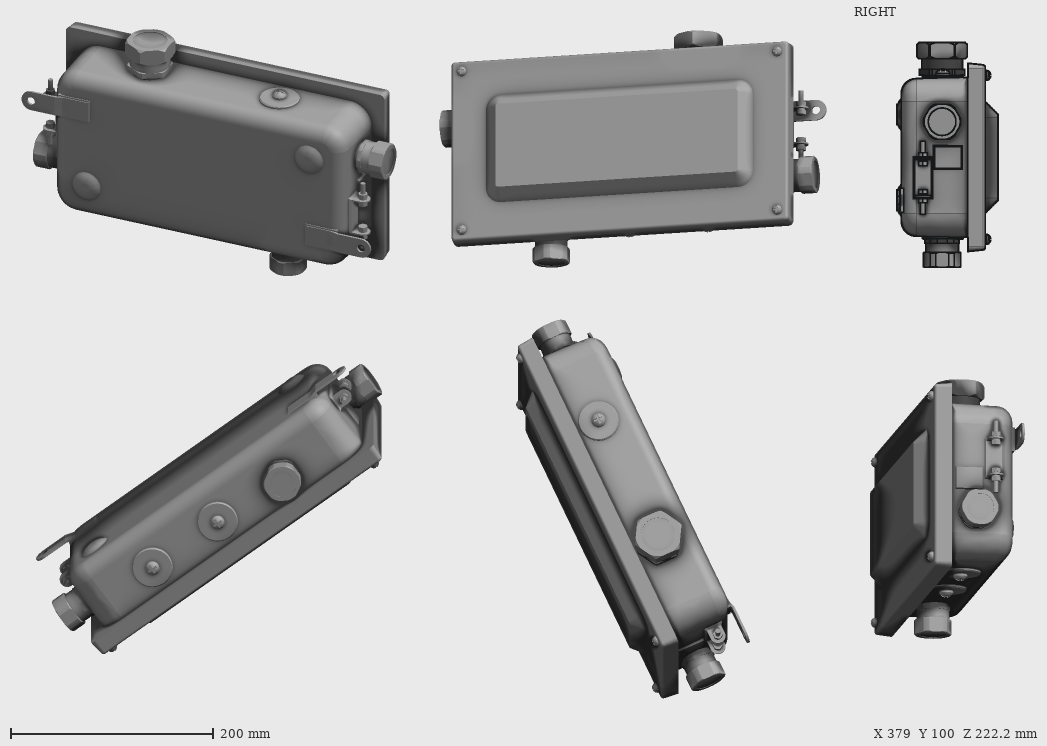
import cadquery as cq
import math

OVERLAP = 2.0

housing_length = 318.2
housing_width = 158.5
housing_depth = 66.0
housing_corner_radius = 24.0
housing_edge_radius = 15.0
housing_draft = 1.3

lid_length = 346.2
lid_width = 186.5
lid_thickness = 17.5
lid_corner_radius = 5.3
lid_edge_radius = 3.0
lid_draft = 6.0
panel_length = 271.5
panel_width = 110.0
panel_height = 12.5
panel_corner_radius = 15.0
panel_slope = 45.0

cross_slot_width = 2.0
cross_slot_depth = 2.0
cross_slot_share = 0.7
lid_screw_spacing_x = 321.2
lid_screw_spacing_z = 162.0
lid_screw_diameter = 10.0
lid_screw_height = 5.3
lid_screw_rim = 1.5

gland_y = -25.5
end_reach = 189.5
end_gland_z = -35.2
bottom_reach = 108.7
bottom_gland_x = 80.0
top_reach = 113.5
top_gland_x = -70.0
nut_recess_depth = 0.8
plug_diameter = 40.5
plug_rim_chamfer = 1.0
plug_y = -24.5
top_plug_x = 70.0
bottom_plug_x = (-80.0, 0)
plug_face = 81.0
plug_thickness = 4.5
plug_screw_diameter = 14.0
plug_screw_height = 6.5
plug_screw_rim = 2.3

strap_z = 42.5
strap_width = 20.5
strap_thickness = 2.3
strap_hole_diameter = 8.5
strap_joggle_outer_x = 153.5
strap_joggle_inner_x = 146.5
strap_inner_end_x = 118.0
strap_outer_face = 70.0
strap_joggle = 2.5
strap_lead_in_x = 143.0
strap_lead_in = 0.55
weld_width = 24.0
weld_outer_x = 151.5
weld_inner_x = 117.0
weld_depth = 3.8
weld_face = 66.5
foot_x = 121.0
foot_diameter = 31.0
foot_flat_diameter = 10.0
foot_height = 4.0
foot_bulge = 1.0

rating_plate_y = -19.7
rating_plate_size = (29.0, 24.2)
rating_plate_face = 160.5
rating_plate_border = 2.5
bracket_y = -44.5
bracket_z = 20.0
bracket_size = (19.0, 41.3)
bracket_face = 160.5
bracket_border = 2.0
plate_edge_drop = 1.5
plate_thickness = 5.5
ear_spacing = 36.7
ear_width = 15.0
ear_thickness = 1.5
stud_x = 169.7
stud_diameter = 5.0
stud_reach = 17.8
stud_washer_diameter = 8.5
stud_washer_height = 1.5
stud_nut_corners = 10.0
stud_nut_height = 4.0


def tapered_block(length, width, height, corner_radius, draft, start, direction):
    """Rounded rectangle in XZ at Y = start, narrowing along +Y or -Y by the draft angle."""
    plane = cq.Plane(origin=(0, start, 0), xDir=(1, 0, 0), normal=(0, direction, 0))
    outline = cq.Sketch().rect(length, width).vertices().fillet(corner_radius)
    return cq.Workplane(plane).placeSketch(outline).extrude(height, taper=draft)


def disc(plane, start, height, diameter):
    return cq.Workplane(plane).workplane(offset=start).circle(diameter / 2).extrude(height)


def trimmed_hexagon(plane, start, height, across_flats, round_diameter, chamfer=0):
    """Hexagonal collar whose six corners are turned down to a round diameter."""
    corners = across_flats / math.cos(math.radians(30))
    hexagon = cq.Workplane(plane).workplane(offset=start).polygon(6, corners).extrude(height)
    turning = disc(plane, start, height, round_diameter)
    if chamfer:
        turning = turning.edges().chamfer(chamfer)
    return hexagon.intersect(turning)


def gland(plane, reach, nut, body, collar, neck_diameter, neck_length, recess_diameter):
    """Cable gland ending at `reach` along the plane normal, built inwards from its nut.

    nut = (height, across flats, round diameter, chamfer), body = (height, diameter),
    collar = (height, across flats, round diameter).
    """
    nut_start = reach - nut[0]
    body_start = nut_start - body[0]
    collar_start = body_start - collar[0]
    neck_start = collar_start - neck_length
    part = trimmed_hexagon(plane, nut_start, *nut)
    part = part.cut(disc(plane, reach - nut_recess_depth, nut_recess_depth, recess_diameter))
    part = part.union(disc(plane, body_start, *body))
    part = part.union(trimmed_hexagon(plane, collar_start, *collar))
    return part.union(disc(plane, neck_start, neck_length, neck_diameter))


def small_gland(plane, reach):
    return gland(
        plane,
        reach,
        nut=(14.8, 35.0, 37.0, 0.8),
        body=(9.0, 32.5),
        collar=(4.0, 32.5, 34.0),
        neck_diameter=29.5,
        neck_length=5.5,
        recess_diameter=27.3,
    )


def large_gland(plane, reach):
    return gland(
        plane,
        reach,
        nut=(16.3, 44.0, 50.0, 2.3),
        body=(10.2, 40.5),
        collar=(5.5, 40.5, 45.0),
        neck_diameter=36.0,
        neck_length=5.5,
        recess_diameter=34.0,
    )


def domed_screw(plane, start, height, rim_height, diameter):
    """Screw head: a short rim, a spherical dome and a cross recess in the crown."""
    radius = diameter / 2
    dome_height = height - rim_height
    sphere_radius = (radius**2 + dome_height**2) / (2 * dome_height)
    half_radius = radius / 2
    half_radius_height = height - sphere_radius + math.sqrt(sphere_radius**2 - half_radius**2)
    profile_plane = cq.Plane(
        origin=plane.toWorldCoords((0, 0, start)).toTuple(),
        xDir=plane.xDir.toTuple(),
        normal=plane.xDir.cross(plane.zDir).toTuple(),
    )
    head = (
        cq.Workplane(profile_plane)
        .moveTo(0, -OVERLAP)
        .lineTo(radius, -OVERLAP)
        .lineTo(radius, rim_height)
        .threePointArc((half_radius, half_radius_height), (0, height))
        .close()
        .revolve(360, (0, 0), (0, 1))
    )
    slot_length = cross_slot_share * diameter
    slots = cq.Workplane(plane).workplane(offset=start + height - cross_slot_depth)
    slots = slots.rect(slot_length, cross_slot_width).extrude(cross_slot_depth).union(
        slots.rect(cross_slot_width, slot_length).extrude(cross_slot_depth)
    )
    return head.cut(slots)


def blanking_plug(x, side):
    """Flat plug with a domed screw on the top (side = 1) or bottom (side = -1) wall."""
    plane = cq.Plane(origin=(x, plug_y, 0), xDir=(0, 1, 0), normal=(0, 0, side))
    plug = disc(plane, plug_face - plug_thickness, plug_thickness, plug_diameter)
    plug = plug.faces(cq.selectors.DirectionMinMaxSelector(plane.zDir)).chamfer(plug_rim_chamfer)
    return plug.union(domed_screw(plane, plug_face, plug_screw_height, plug_screw_rim, plug_screw_diameter))


def lid_screw(x, z):
    plane = cq.Plane(origin=(x, lid_thickness, z), xDir=(1, 0, 0), normal=(0, 1, 0))
    return domed_screw(plane, 0, lid_screw_height, lid_screw_rim, lid_screw_diameter)


def left_strap():
    """Joggled mounting strap with a rounded, drilled tip, on its rectangular weld."""
    bends = [
        (-end_reach, -strap_outer_face),
        (-strap_joggle_outer_x, -strap_outer_face),
        (-strap_joggle_inner_x, -strap_outer_face + strap_joggle - strap_lead_in),
        (-strap_lead_in_x, -strap_outer_face + strap_joggle),
        (-strap_inner_end_x, -strap_outer_face + strap_joggle),
    ]
    upper_side = [(x, y + strap_thickness) for x, y in reversed(bends)]
    strap = cq.Workplane("XY").workplane(offset=strap_z - strap_width / 2)
    strap = strap.polyline(bends + upper_side).close().extrude(strap_width)

    tip_x = -end_reach + strap_width / 2
    tip_plane = cq.Plane(origin=(tip_x, 0, strap_z), xDir=(1, 0, 0), normal=(0, -1, 0))
    straight_length = -strap_inner_end_x - tip_x
    outline = disc(tip_plane, 0, strap_outer_face, strap_width)
    outline = outline.union(
        cq.Workplane(tip_plane)
        .center(straight_length / 2, 0)
        .rect(straight_length, strap_width)
        .extrude(strap_outer_face)
    )
    strap = strap.intersect(outline).cut(disc(tip_plane, 0, strap_outer_face, strap_hole_diameter))

    weld = cq.Workplane("XY").box(weld_outer_x - weld_inner_x, weld_depth, weld_width)
    weld_x = -(weld_outer_x + weld_inner_x) / 2
    return strap.union(weld.translate((weld_x, -weld_face + weld_depth / 2, strap_z)))


def left_foot():
    """Domed foot with a small flat at its crown."""
    base = foot_diameter / 2
    flat = foot_flat_diameter / 2
    plane = cq.Plane(origin=(-foot_x, -housing_depth, -strap_z), xDir=(1, 0, 0), normal=(0, 0, 1))
    dome = (
        cq.Workplane(plane)
        .moveTo(0, OVERLAP)
        .lineTo(base, OVERLAP)
        .lineTo(base, 0)
        .threePointArc(((base + flat) / 2, -foot_height / 2 - foot_bulge), (flat, -foot_height))
        .lineTo(0, -foot_height)
        .close()
    )
    return dome.revolve(360, (0, 0), (0, 1))


def left_wall_plate(face, y, z, size, border):
    """Rectangular plate on the left wall with a sloping border."""
    plate = cq.Workplane("XY").box(plate_thickness, *size)
    plate = plate.faces("<X").edges().chamfer(plate_edge_drop, border)
    return plate.translate((plate_thickness / 2 - face, y, z))


def left_earth_stud(direction):
    """Ear of the bracket with its stud, pointing up (1) or down (-1)."""
    ear_z = bracket_z + direction * ear_spacing / 2
    plane = cq.Plane(origin=(-stud_x, bracket_y, ear_z), xDir=(1, 0, 0), normal=(0, 0, direction))
    ear_root = stud_x - bracket_face + plate_edge_drop
    ear = disc(plane, -ear_thickness / 2, ear_thickness, ear_width)
    ear = ear.union(
        cq.Workplane(plane)
        .center(ear_root / 2, 0)
        .rect(ear_root, ear_width)
        .extrude(ear_thickness / 2, both=True)
    )
    nut_start = ear_thickness / 2 + stud_washer_height
    nut_end = nut_start + stud_nut_height
    washers = disc(plane, -nut_start, 2 * nut_start, stud_washer_diameter)
    part = ear.union(washers)
    for start in (nut_start, -nut_end):
        nut = cq.Workplane(plane).workplane(offset=start).polygon(6, stud_nut_corners)
        part = part.union(nut.extrude(stud_nut_height))
    return part.union(disc(plane, -nut_end, nut_end + stud_reach, stud_diameter))


housing = tapered_block(
    housing_length, housing_width, housing_depth, housing_corner_radius, housing_draft, 0, -1
)
housing = housing.faces("<Y").edges().fillet(housing_edge_radius)

lid = tapered_block(lid_length, lid_width, lid_thickness, lid_corner_radius, lid_draft, 0, 1)
lid = lid.faces(">Y").edges().fillet(lid_edge_radius)
panel = tapered_block(
    panel_length, panel_width, panel_height, panel_corner_radius, panel_slope, lid_thickness, 1
)
result = housing.union(lid).union(panel)
for screw_x in (-lid_screw_spacing_x / 2, lid_screw_spacing_x / 2):
    for screw_z in (-lid_screw_spacing_z / 2, lid_screw_spacing_z / 2):
        result = result.union(lid_screw(screw_x, screw_z))

left_plane = cq.Plane(origin=(0, gland_y, end_gland_z), xDir=(0, 1, 0), normal=(-1, 0, 0))
left_pieces = [
    small_gland(left_plane, end_reach),
    left_wall_plate(rating_plate_face, rating_plate_y, 0, rating_plate_size, rating_plate_border),
    left_wall_plate(bracket_face, bracket_y, bracket_z, bracket_size, bracket_border),
    left_earth_stud(1),
    left_earth_stud(-1),
    left_strap(),
    left_foot(),
]
for piece in left_pieces:
    result = result.union(piece)
    result = result.union(piece.rotate((0, 0, 0), (0, 1, 0), 180))

top_plane = cq.Plane(origin=(top_gland_x, gland_y, 0), xDir=(0, 1, 0), normal=(0, 0, 1))
result = result.union(large_gland(top_plane, top_reach))
bottom_plane = cq.Plane(origin=(bottom_gland_x, gland_y, 0), xDir=(0, 1, 0), normal=(0, 0, -1))
result = result.union(small_gland(bottom_plane, bottom_reach))
result = result.union(blanking_plug(top_plug_x, 1))
for plug_x in bottom_plug_x:
    result = result.union(blanking_plug(plug_x, -1))